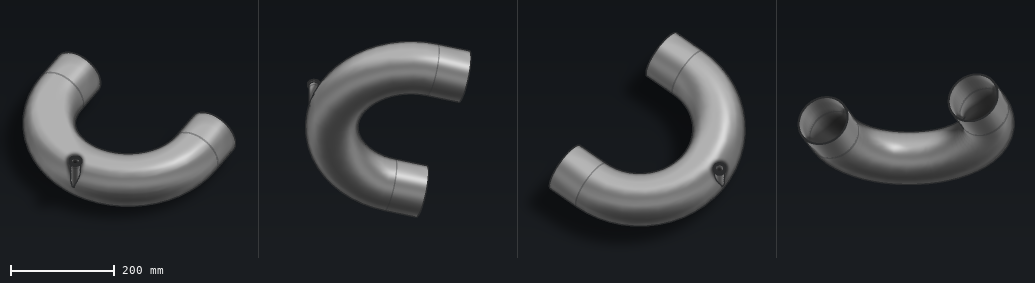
import cadquery as cq

tube_diameter = 101.5
tube_bore = 97.5
bend_radius = 152.5
leg_length = 63.5

nozzle_diameter = 19.0
nozzle_bore = 16.0
ferrule_diameter = 25.0
rim_thickness = 3.5
rim_taper = 1.2
rim_edge_radius = 1.0
groove_outer_diameter = 22.0
groove_inner_diameter = 18.3
groove_depth = 1.0
groove_side_run = 0.5
weld_drop = 12.0
ferrule_top = 66.5

nozzle_y = nozzle_diameter / 2 - (bend_radius + tube_diameter / 2)


def u_bend(diameter):
    """Solid U of round section, its centreline lying in the XY plane."""
    path = (
        cq.Workplane("XY")
        .moveTo(-bend_radius, leg_length)
        .lineTo(-bend_radius, 0)
        .threePointArc((0, -bend_radius), (bend_radius, 0))
        .lineTo(bend_radius, leg_length)
    )
    section = cq.Workplane("XZ", origin=(-bend_radius, leg_length, 0)).circle(diameter / 2)
    return section.sweep(path)


def nozzle_cylinder(diameter, bottom, top):
    """Vertical cylinder on the nozzle axis."""
    return cq.Workplane("XY", origin=(0, nozzle_y, bottom)).circle(diameter / 2).extrude(top - bottom)


def ferrule():
    """Clamp ferrule: rim with a rounded edge and tapered underside, gasket groove with sloped sides."""
    neck_radius = nozzle_diameter / 2
    rim_radius = ferrule_diameter / 2
    rim_bottom = ferrule_top - rim_thickness
    groove_floor = ferrule_top - groove_depth
    half_profile = (
        cq.Workplane("XZ", origin=(0, nozzle_y, 0))
        .moveTo(0, ferrule_top - weld_drop)
        .lineTo(neck_radius, ferrule_top - weld_drop)
        .lineTo(neck_radius, rim_bottom - rim_taper)
        .lineTo(rim_radius, rim_bottom)
        .lineTo(rim_radius, ferrule_top)
        .lineTo(groove_outer_diameter / 2, ferrule_top)
        .lineTo(groove_outer_diameter / 2 - groove_side_run, groove_floor)
        .lineTo(groove_inner_diameter / 2 + groove_side_run, groove_floor)
        .lineTo(groove_inner_diameter / 2, ferrule_top)
        .lineTo(0, ferrule_top)
        .close()
    )
    body = half_profile.revolve(360, (0, 0, 0), (0, 1, 0))
    lower_rim_edge = cq.selectors.NearestToPointSelector((0, nozzle_y, rim_bottom))
    return body.edges(lower_rim_edge).fillet(rim_edge_radius)


nozzle_tube = nozzle_cylinder(nozzle_diameter, 0, ferrule_top - weld_drop)
nozzle_passage = nozzle_cylinder(nozzle_bore, 0, ferrule_top)

result = (
    u_bend(tube_diameter)
    .union(nozzle_tube, clean=False)
    .union(ferrule(), clean=False)
    .cut(u_bend(tube_bore), clean=False)
    .cut(nozzle_passage, clean=False)
)